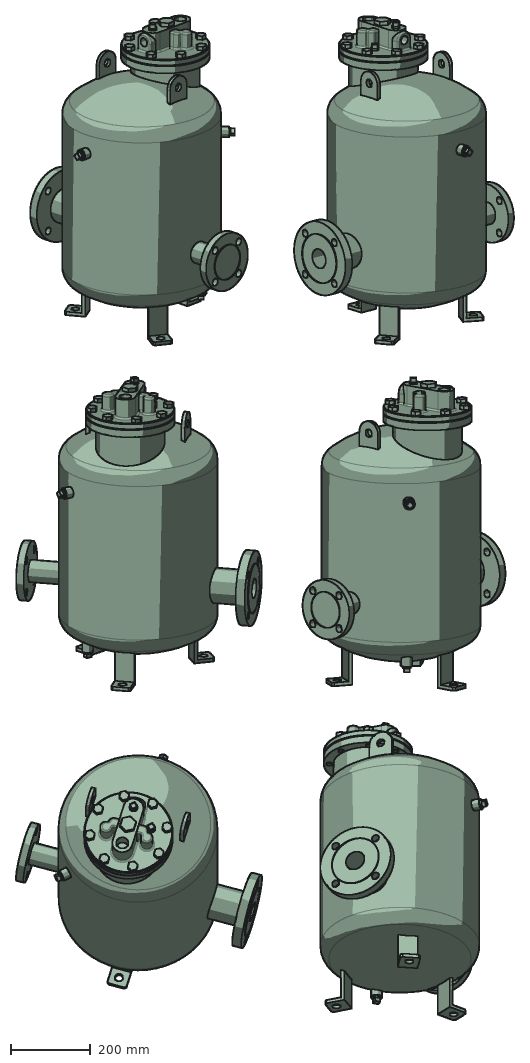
import cadquery as cq
import math


shell_radius = 200.0
shell_bottom = 140.0
shell_top = 550.0
bottom_knuckle_radius = 44.0
bottom_crown_radius = 344.0
top_knuckle_radius = 46.0
top_crown_radius = 297.0

joint_y = 86.0
neck_radius = 174.0 / 2
flange_radius = 224.0 / 2
flange_bottom = 679.0
gasket_bottom = 697.5
gasket_thickness = 3.0
gasket_top = gasket_bottom + gasket_thickness
cover_top = 715.5
cover_chamfer = 2.0

bolt_count = 8
bolt_circle_radius = 98.0
bolt_diameter = 14.0
bolt_head_flats = 23.0
bolt_head_height = 10.0
bolt_stub = 2.0
bolt_end = flange_bottom - bolt_stub

nozzle_z = 231.0
nozzle_reach = 299.9
raised_face_height = 2.0
inlet_pipe_diameter = 90.0
inlet_flange_diameter = 191.0
inlet_flange_thickness = 23.5
inlet_face_diameter = 127.0
inlet_bolt_circle = 152.5
inlet_bore_diameter = 50.0
outlet_pipe_diameter = 57.0
outlet_flange_diameter = 152.5
outlet_flange_thickness = 19.5
outlet_face_diameter = 92.0
outlet_bolt_circle = 120.5
flange_hole_diameter = 19.0
flange_hole_count = 4

leg_angles = (90, 210, 330)
leg_width = 50.0
leg_thickness = 9.0
leg_outer_face = 149.0
foot_reach = 194.0
foot_corner = 5.0
foot_hole_diameter = 20.0
foot_hole_radius = (leg_outer_face + foot_reach) / 2
leg_height = 94.0

lug_x = 123.5
lug_thickness = 9.0
lug_radius = 30.5
lug_hole_z = 656.0
lug_hole_diameter = 20.0
lug_bottom = 602.0

socket_diameter = 28.0
socket_z = 500.5
socket_reach = 220.0
socket_angles = (-90, 45)
drain_radius = 149.0
drain_angle = 45
drain_bottom = 66.5
plug_diameter = 20.0
plug_collar = 5.0
plug_length = 15.0

block_width = 51.0
block_rear_y = 141.0
block_front_y = 40.0
block_top = 767.0
base_fillet = 5.0
exhaust_port_diameter = 30.5
exhaust_port_depth = 31.0
port_block_half_width = 23.0
port_block_front_y = 8.0
port_block_rounding = 5.0
port_z = 741.0
port_diameter = 23.0
port_depth = 23.5
lid_plug_x = -52.5
lid_plug_y = 61.0

pillar_x = 53.0
pillar_y = 105.0
pillar_radius = 15.0
arm_x = 38.0
arm_y = 87.5
arm_radius = 12.5
pillar_top = 759.0
pillar_top_fillet = 5.0
pillar_groove_fillet = 3.0

hex_plug_y = 90.0
hex_plug_flats = 36.0
hex_plug_height = 10.0


def cylinder(radius, bottom, top, x=0.0, y=0.0):
    return cq.Workplane("XY", origin=(x, y, bottom)).circle(radius).extrude(top - bottom)


def hexagon(flats, height, bottom, x, y, turn):
    """Hexagonal prism whose first corner points at the angle turn."""
    corners_diameter = flats / math.cos(math.pi / 6)
    prism = cq.Workplane("XY").polygon(6, corners_diameter).extrude(height)
    return prism.rotate((0, 0, 0), (0, 0, 1), turn).translate((x, y, bottom))


def square_plug():
    """Round collar on Z = 0 with a square head whose corners lie on the collar's circle."""
    collar = cq.Workplane("XY").circle(plug_diameter / 2).extrude(plug_collar)
    head = cq.Workplane("XY").polygon(4, plug_diameter).extrude(plug_length)
    return collar.union(head)


def head_arcs(knuckle, crown):
    """Offsets from the tangent line of a torispherical head.

    Returns (r, height) of the knuckle's middle, of the joint between knuckle and crown,
    and of the crown's middle, then the height of the head.
    """
    ring_radius = shell_radius - knuckle
    centre_drop = math.sqrt((crown - knuckle) ** 2 - ring_radius**2)
    joint_angle = math.atan2(centre_drop, ring_radius)

    def on_knuckle(angle):
        return ring_radius + knuckle * math.cos(angle), knuckle * math.sin(angle)

    def on_crown(angle):
        return crown * math.cos(angle), crown * math.sin(angle) - centre_drop

    crown_middle = (joint_angle + math.pi / 2) / 2
    return on_knuckle(joint_angle / 2), on_knuckle(joint_angle), on_crown(crown_middle), crown - centre_drop


def make_shell():
    low_bend, low_joint, low_crown, low_height = head_arcs(bottom_knuckle_radius, bottom_crown_radius)
    top_bend, top_joint, top_crown, top_height = head_arcs(top_knuckle_radius, top_crown_radius)

    def low(point):
        return point[0], shell_bottom - point[1]

    def high(point):
        return point[0], shell_top + point[1]

    return (
        cq.Workplane("XZ")
        .moveTo(0, shell_bottom - low_height)
        .threePointArc(low(low_crown), low(low_joint))
        .threePointArc(low(low_bend), (shell_radius, shell_bottom))
        .lineTo(shell_radius, shell_top)
        .threePointArc(high(top_bend), high(top_joint))
        .threePointArc(high(top_crown), (0, shell_top + top_height))
        .close()
        .revolve(360, (0, 0, 0), (0, 1, 0))
    )


def make_nozzle(pipe_diameter, flange_diameter, thickness, face_diameter, bolt_circle):
    """Flanged pipe along +X from the vessel axis."""
    flange_outer = nozzle_reach - raised_face_height
    plane = cq.Workplane("YZ", origin=(0, 0, nozzle_z))
    pipe = plane.circle(pipe_diameter / 2).extrude(nozzle_reach - thickness)
    flange = (
        plane.workplane(offset=flange_outer - thickness)
        .circle(flange_diameter / 2)
        .extrude(thickness)
    )
    face = plane.workplane(offset=flange_outer).circle(face_diameter / 2).extrude(raised_face_height)
    first_hole_angle = 180 / flange_hole_count
    holes = (
        plane.workplane(offset=flange_outer - thickness)
        .polarArray(bolt_circle / 2, first_hole_angle, 360, flange_hole_count)
        .circle(flange_hole_diameter / 2)
        .extrude(nozzle_reach)
    )
    return pipe.union(flange).union(face).cut(holes)


def make_inlet_bore():
    """Bore along X that runs up to the shell's far wall."""
    length = nozzle_reach + shell_radius
    bore = (
        cq.Workplane("YZ", origin=(-nozzle_reach, 0, nozzle_z))
        .circle(inlet_bore_diameter / 2)
        .extrude(length)
    )
    outside = cylinder(shell_radius, shell_bottom, shell_top)
    before_shell = cq.Workplane("XY").box(nozzle_reach, shell_radius, shell_top, (False, True, False))
    return bore.intersect(outside.union(before_shell.translate((-nozzle_reach, 0, 0))))


def make_leg(angle):
    """L-shaped leg pointing outward at the given angle."""
    inner_face = leg_outer_face - leg_thickness
    post = cq.Workplane("XY").box(leg_thickness, leg_width, leg_height, (False, True, False))
    foot = (
        cq.Workplane("XY")
        .box(foot_reach - inner_face, leg_width, leg_thickness, (False, True, False))
        .edges("|Z and >X")
        .chamfer(foot_corner)
    )
    leg = post.union(foot).translate((inner_face, 0, 0))
    hole = cylinder(foot_hole_diameter / 2, 0, leg_thickness, foot_hole_radius)
    return leg.cut(hole).rotate((0, 0, 0), (0, 0, 1), angle)


def make_lug(side):
    plane = cq.Workplane("YZ", origin=(side * lug_x - lug_thickness / 2, 0, lug_hole_z))
    return (
        plane.moveTo(-lug_radius, lug_bottom - lug_hole_z)
        .lineTo(-lug_radius, 0)
        .threePointArc((0, lug_radius), (lug_radius, 0))
        .lineTo(lug_radius, lug_bottom - lug_hole_z)
        .close()
        .extrude(lug_thickness)
        .cut(plane.circle(lug_hole_diameter / 2).extrude(lug_thickness))
    )


def make_socket(depth):
    """Socket ending at Z = 0 and reaching depth below it, closed by a square plug."""
    return cylinder(socket_diameter / 2, -depth, 0).union(square_plug())


def make_side_socket(angle):
    depth = socket_reach - shell_radius + socket_diameter / 2
    socket = make_socket(depth).rotate((0, 0, 0), (0, 1, 0), 90)
    return socket.translate((socket_reach, 0, socket_z)).rotate((0, 0, 0), (0, 0, 1), angle)


def make_drain():
    socket = make_socket(shell_bottom - drain_bottom).rotate((0, 0, 0), (1, 0, 0), 180)
    turned = math.radians(drain_angle)
    return socket.translate((drain_radius * math.cos(turned), drain_radius * math.sin(turned), drain_bottom))


def bolt_places():
    step = 360 / bolt_count
    for number in range(bolt_count):
        angle = math.radians((number + 0.5) * step)
        yield bolt_circle_radius * math.cos(angle), joint_y + bolt_circle_radius * math.sin(angle)


def drill_bolt_holes(body):
    for x, y in bolt_places():
        body = body.cut(cylinder(bolt_diameter / 2, bolt_end, cover_top, x, y))
    return body


def make_vessel():
    vessel = make_shell()
    vessel = vessel.union(cylinder(neck_radius, shell_top, gasket_bottom, y=joint_y))
    vessel = vessel.union(cylinder(flange_radius, flange_bottom, gasket_bottom, y=joint_y))
    inlet = make_nozzle(
        inlet_pipe_diameter,
        inlet_flange_diameter,
        inlet_flange_thickness,
        inlet_face_diameter,
        inlet_bolt_circle,
    )
    outlet = make_nozzle(
        outlet_pipe_diameter,
        outlet_flange_diameter,
        outlet_flange_thickness,
        outlet_face_diameter,
        outlet_bolt_circle,
    )
    vessel = vessel.union(inlet.rotate((0, 0, 0), (0, 0, 1), 180)).union(outlet)
    for angle in leg_angles:
        vessel = vessel.union(make_leg(angle))
    for side in (-1, 1):
        vessel = vessel.union(make_lug(side))
    for angle in socket_angles:
        vessel = vessel.union(make_side_socket(angle))
    vessel = vessel.union(make_drain())
    return drill_bolt_holes(vessel.cut(make_inlet_bore()))


def make_gasket():
    return drill_bolt_holes(cylinder(flange_radius, gasket_bottom, gasket_top, y=joint_y))


def make_port_block():
    """Arched block at the front of the valve block."""
    return (
        cq.Workplane("XZ", origin=(0, block_front_y, 0))
        .moveTo(-port_block_half_width, cover_top)
        .lineTo(-port_block_half_width, port_z)
        .threePointArc((0, port_z + port_block_half_width), (port_block_half_width, port_z))
        .lineTo(port_block_half_width, cover_top)
        .close()
        .extrude(block_front_y - port_block_front_y)
        .faces("<Y")
        .edges("not <Z")
        .fillet(port_block_rounding)
    )


def make_pillar():
    """Round pillar on the +X side with an arm that runs into the valve block."""
    height = pillar_top - cover_top
    arm = cylinder(arm_radius, cover_top, pillar_top, arm_x, arm_y).union(
        cq.Workplane("XY")
        .box(arm_x, 2 * arm_radius, height, (False, True, False))
        .translate((0, arm_y, cover_top))
    )
    pillar = cylinder(pillar_radius, cover_top, pillar_top, pillar_x, pillar_y).union(arm).clean()
    grooves = cq.selectors.BoxSelector(
        (arm_x - arm_radius, arm_y - arm_radius, cover_top),
        (pillar_x + pillar_radius, pillar_y, pillar_top),
    )
    pillar = pillar.edges("|Z").edges(grooves).fillet(pillar_groove_fillet)
    return pillar.faces(">Z").edges().fillet(pillar_top_fillet)


def make_valve_block():
    """Long rounded block, port block and pillars with a fillet where they stand on the cover."""
    length = block_rear_y - block_front_y + block_width
    block = (
        cq.Workplane("XY", origin=(0, (block_rear_y + block_front_y) / 2, cover_top))
        .slot2D(length, block_width, 90)
        .extrude(block_top - cover_top)
    )
    pillar = make_pillar()
    block = block.union(make_port_block()).union(pillar).union(pillar.mirror("YZ"))
    pad = cylinder(flange_radius - cover_chamfer, gasket_top, cover_top, y=joint_y)
    reach = pillar_x + pillar_radius + base_fillet
    inside_pad = cq.selectors.BoxSelector(
        (-reach, port_block_front_y - base_fillet, cover_top - base_fillet / 2),
        (reach, block_rear_y + block_width, cover_top + base_fillet / 2),
    )
    block = pad.union(block).edges(inside_pad).fillet(base_fillet)
    port = (
        cq.Workplane("XZ", origin=(0, port_block_front_y, port_z))
        .circle(port_diameter / 2)
        .extrude(-port_depth)
    )
    exhaust = cylinder(exhaust_port_diameter / 2, block_top - exhaust_port_depth, block_top, y=block_rear_y)
    return block.cut(port).cut(exhaust)


def make_cover():
    cover = cylinder(flange_radius, gasket_top, cover_top, y=joint_y).faces(">Z").chamfer(cover_chamfer)
    cover = cover.union(make_valve_block())
    cover = cover.union(square_plug().translate((0, block_front_y, block_top)))
    cover = cover.union(square_plug().translate((lid_plug_x, lid_plug_y, cover_top)))
    for x, y in bolt_places():
        shank = cylinder(bolt_diameter / 2, bolt_end, cover_top, x, y)
        head = hexagon(bolt_head_flats, bolt_head_height, cover_top, x, y, 90)
        cover = cover.union(shank).union(head)
    return cover


def make_hex_plug():
    return hexagon(hex_plug_flats, hex_plug_height, block_top, 0, hex_plug_y, 90)


vessel = make_vessel()
gasket = make_gasket()
cover = make_cover()
hex_plug = make_hex_plug()

result = cq.Compound.makeCompound([vessel.val(), gasket.val(), cover.val(), hex_plug.val()])